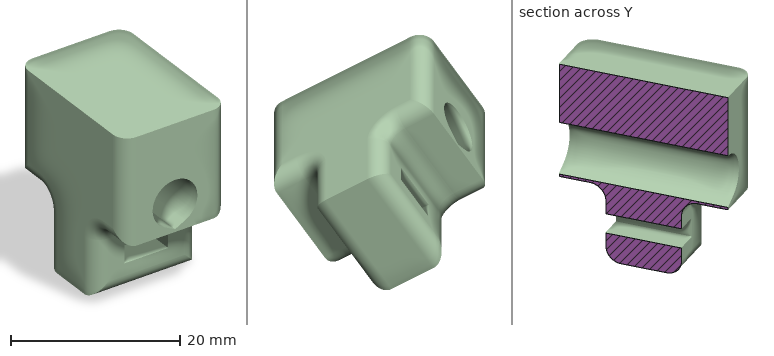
import cadquery as cq

width = 21.8
depth = 15.0
height = 25.0
stem_width = 9.8
stem_height = 10.0
round_radius = 2.0

bore_diameter = 6.4
bore_height = 14.0
bore_tip_drop = 3.62

slot_width = 6.25
slot_height = 2.5
slot_center_height = stem_height / 2


def make_tee():
    """T-shaped body with rounded inner corners and rounded front and back edges."""
    head = cq.Workplane("XY").box(
        width, depth, height - stem_height, centered=(True, True, False)
    ).translate((0, 0, stem_height))
    stem = cq.Workplane("XY").box(
        stem_width, depth, height, centered=(True, True, False)
    )
    inner_corners = cq.selectors.BoxSelector(
        (-stem_width / 2 - 0.25, -depth, stem_height - 0.25),
        (stem_width / 2 + 0.25, depth, stem_height + 0.25),
    )
    body = head.union(stem).edges("|Y").edges(inner_corners).fillet(round_radius)

    stem_edges = cq.selectors.BoxSelector(
        (-stem_width / 2 - 0.25, -depth, 0),
        (stem_width / 2 + 0.25, depth, stem_height),
    )
    return body.edges("|Z").edges(stem_edges).fillet(round_radius)


def make_envelope():
    """Limits that round the upright head corners and the lower stem edges."""
    head_limit = (
        cq.Workplane("XY")
        .box(width, depth, height, centered=(True, True, False))
        .edges("|Z")
        .fillet(round_radius)
    )
    stem_limit = (
        cq.Workplane("XY")
        .box(stem_width, depth, stem_height, centered=(True, True, False))
        .edges("|Y and <Z")
        .fillet(round_radius)
    )
    lower_gap = cq.Workplane("XY").box(
        stem_width, depth, round_radius, centered=(True, True, False)
    )
    return head_limit.cut(lower_gap.cut(stem_limit))


def make_bore():
    """Round bore with a pointed lower side formed by two tangent planes."""
    radius = bore_diameter / 2
    tangent_z = -radius**2 / bore_tip_drop
    tangent_y = (radius**2 - tangent_z**2) ** 0.5
    return (
        cq.Workplane("YZ")
        .center(0, bore_height)
        .moveTo(0, -bore_tip_drop)
        .lineTo(tangent_y, tangent_z)
        .threePointArc((0, radius), (-tangent_y, tangent_z))
        .close()
        .extrude(width / 2, both=True)
    )


def make_slot():
    """Rectangular opening from one side of the stem to the other."""
    return cq.Workplane("XY").box(width, slot_width, slot_height).translate(
        (0, 0, slot_center_height)
    )


result = make_tee().intersect(make_envelope()).cut(make_bore()).cut(make_slot())